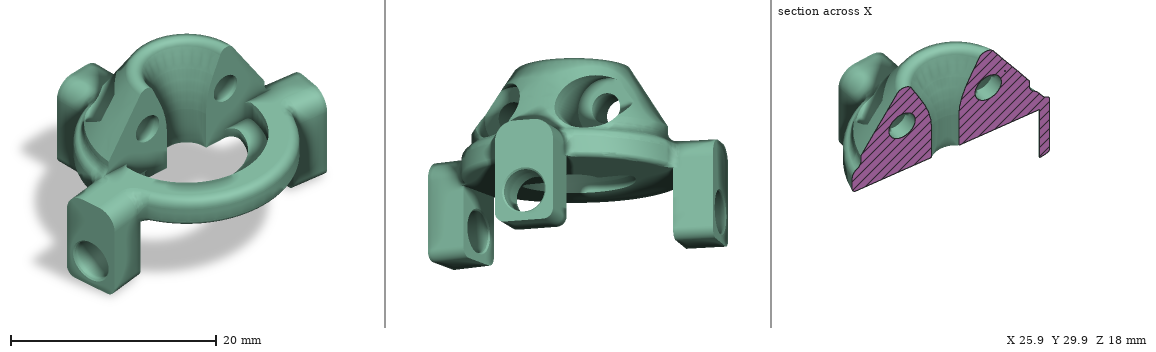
import math

import cadquery as cq

TOLERANCE = 0.01

RING_RADIUS = 11.0
RING_HEIGHT = 3.0
RING_TOP_ROUND = 1.0
RING_BOTTOM_ROUND = 0.5

POCKET_RADIUS = 8.0
POCKET_DEPTH = 2.0
POCKET_CORNER = 0.5
OPENING_RADIUS = 6.0
OPENING_CORNER = 1.0

CAP_TOP = RING_HEIGHT + 8.0
CAP_RADIUS = 10.0
CAP_SHOULDER_Z = RING_HEIGHT + 1.45
CAP_BLEND = 1.0
RIM_CREST_RADIUS = 5.15
RIM_OUTER_RADIUS = 6.0
RIM_OUTER_Z = CAP_TOP - 0.5

RIM_INNER_RADIUS = 4.3
RIM_INNER_Z = CAP_TOP - 0.65
THROAT_RADIUS = 3.4
FUNNEL_ANGLE = math.radians(24.0)
BORE_RADIUS = 2.5

SCREW_SPACING = 10.0
SCREW_Z = RING_HEIGHT + 3.0
SCREW_DIAMETER = 3.0
SCREW_HEAD_DIAMETER = 6.0
SCREW_SEAT_X = -3.5

LEG_DIRECTIONS = (85.0, 185.0, 280.0)
LEG_OUTER = 14.7
LEG_THICKNESS = 4.0
LEG_INNER = LEG_OUTER - LEG_THICKNESS
LEG_WIDTH = 6.0
LEG_BOTTOM = -7.0
LEG_BOTTOM_ROUND = 1.0
ARM_ROOT = 9.0
ARM_TOP_ROUND = 2.0
NECK_BLEND = 1.0

PIN_DIAMETER = 4.2
PIN_CHAMFER = 0.15
PIN_Z = LEG_BOTTOM + 3.0

HALF_SPACE_SIZE = 4 * LEG_OUTER


def turn(shape, direction):
    """Turn a shape built along +X to point in the given direction."""
    return shape.rotate((0, 0, 0), (0, 0, 1), direction)


def distance_from_axis(point):
    return math.hypot(point.x, point.y)


def make_ring():
    ring = cq.Workplane("XY").circle(RING_RADIUS).extrude(RING_HEIGHT)
    return ring.faces("<Z").edges().fillet(RING_BOTTOM_ROUND)


def make_arm(direction):
    """Upper part of a leg, as high as the ring and rooted inside it."""
    arm = cq.Workplane("XY").box(
        LEG_OUTER - ARM_ROOT, LEG_WIDTH, RING_HEIGHT, centered=(False, True, False)
    )
    return turn(arm.translate((ARM_ROOT, 0, 0)), direction)


def make_foot(direction):
    """Lower part of a leg, hanging below the ring."""
    foot = cq.Workplane("XY").box(
        LEG_THICKNESS, LEG_WIDTH, -LEG_BOTTOM, centered=(False, True, False)
    )
    foot = foot.edges("|X and <Z").fillet(LEG_BOTTOM_ROUND)
    return turn(foot.translate((LEG_INNER, 0, LEG_BOTTOM)), direction)


def is_neck_edge(edge):
    """True for the rising edges where the sides of an arm meet the rim of the ring."""
    on_rim = distance_from_axis(edge.Center()) < RING_RADIUS + TOLERANCE
    return on_rim and edge.BoundingBox().zlen > TOLERANCE


def is_arm_end(edge):
    return distance_from_axis(edge.Center()) > LEG_OUTER - TOLERANCE


def top_round_at(point):
    """Radius of the top round: small along the ring, large along the arms."""
    on_ring = distance_from_axis(point) < RING_RADIUS + TOLERANCE
    return RING_TOP_ROUND if on_ring else ARM_TOP_ROUND


def round_top(body):
    """Round the top outline, the radius changing smoothly along each neck."""
    solid = body.solids().val()
    rounding = cq.occ_impl.shapes.BRepFilletAPI_MakeFillet(solid.wrapped)
    for edge in body.faces(">Z").edges().vals():
        already_added = rounding.Contour(edge.wrapped) > 0
        if not already_added and not is_arm_end(edge):
            rounding.Add(edge.wrapped)
    for contour in range(1, rounding.NbContours() + 1):
        for index in range(1, rounding.NbEdges(contour) + 1):
            edge = cq.Edge(rounding.Edge(contour, index))
            radii = [top_round_at(edge.startPoint()), top_round_at(edge.endPoint())]
            if edge.wrapped.Orientation().name == "TopAbs_REVERSED":
                radii.reverse()
            rounding.SetRadius(*radii, contour, index)
    return cq.Workplane(obj=cq.Shape.cast(rounding.Shape()))


def make_base():
    """Ring with its arms, blended at the necks and rounded along the top."""
    base = make_ring()
    for direction in LEG_DIRECTIONS:
        base = base.union(make_arm(direction))
    neck_edges = [edge for edge in base.edges().vals() if is_neck_edge(edge)]
    base = base.newObject(neck_edges).fillet(NECK_BLEND)
    return round_top(base)


def is_cap_foot_edge(edge):
    """True for the circle where the cap cylinder stands on the base."""
    points = [edge.positionAt(fraction) for fraction in (0, 0.5, 1)]
    return all(
        abs(distance_from_axis(point) - CAP_RADIUS) < TOLERANCE
        and abs(point.z - RING_HEIGHT) < TOLERANCE
        for point in points
    )


def make_cap():
    """Full cap without its funnel; its rim is an arc from the outer cone to the funnel."""
    profile = (
        cq.Workplane("XZ")
        .lineTo(CAP_RADIUS, 0)
        .lineTo(CAP_RADIUS, CAP_SHOULDER_Z)
        .lineTo(RIM_OUTER_RADIUS, RIM_OUTER_Z)
        .threePointArc((RIM_CREST_RADIUS, CAP_TOP), (RIM_INNER_RADIUS, RIM_INNER_Z))
        .lineTo(0, RIM_INNER_Z)
        .close()
    )
    return profile.revolve(360, (0, 0, 0), (0, 1, 0))


def make_capped_half(base):
    """The -X half of the base with the cap blended onto it."""
    capped = base.union(make_cap())
    foot_edges = [edge for edge in capped.edges().vals() if is_cap_foot_edge(edge)]
    capped = capped.newObject(foot_edges).fillet(CAP_BLEND)
    half_space = cq.Workplane("XY").box(HALF_SPACE_SIZE, HALF_SPACE_SIZE, HALF_SPACE_SIZE)
    return capped.intersect(half_space.translate((-HALF_SPACE_SIZE / 2, 0, 0)))


def make_funnel():
    """Cone below the rim, a tangent throat curve and the bore down through the ring."""
    throat_z = RIM_INNER_Z - (RIM_INNER_RADIUS - THROAT_RADIUS) / math.tan(FUNNEL_ANGLE)
    curve_radius = (THROAT_RADIUS - BORE_RADIUS) / (1 - math.cos(FUNNEL_ANGLE))
    bore_z = throat_z - curve_radius * math.sin(FUNNEL_ANGLE)
    profile = (
        cq.Workplane("XZ")
        .lineTo(BORE_RADIUS, 0)
        .lineTo(BORE_RADIUS, bore_z)
        .radiusArc((THROAT_RADIUS, throat_z), curve_radius)
        .lineTo(RIM_INNER_RADIUS, RIM_INNER_Z)
        .lineTo(0, RIM_INNER_Z)
        .close()
    )
    return profile.revolve(360, (0, 0, 0), (0, 1, 0))


def half_disc(radius, corner, bottom, height):
    """Half disc on the +X side of the YZ plane, its two upright corners rounded."""
    disc = cq.Workplane("XY").workplane(offset=bottom).moveTo(0, -radius)
    disc = disc.threePointArc((radius, 0), (0, radius)).close().extrude(height)
    return disc.edges("|Z").fillet(corner)


def make_opening():
    """Pocket in the top of the ring and the smaller opening through its floor."""
    pocket_floor = RING_HEIGHT - POCKET_DEPTH
    pocket = half_disc(POCKET_RADIUS, POCKET_CORNER, pocket_floor, POCKET_DEPTH)
    return pocket.union(half_disc(OPENING_RADIUS, OPENING_CORNER, 0, RING_HEIGHT))


def make_screw_hole(y):
    """Screw hole running to the flat of the cap, its counterbore open towards -X."""
    hole = cq.Workplane("YZ").center(y, SCREW_Z).circle(SCREW_DIAMETER / 2).extrude(-LEG_OUTER)
    seat = cq.Workplane("YZ").workplane(offset=SCREW_SEAT_X).center(y, SCREW_Z)
    return hole.union(seat.circle(SCREW_HEAD_DIAMETER / 2).extrude(-LEG_OUTER))


def make_pin_hole(direction):
    """Through-hole along the direction of a leg, chamfered at both mouths."""
    radius = PIN_DIAMETER / 2
    mouth = radius + PIN_CHAMFER
    profile = [
        (LEG_INNER, 0),
        (LEG_INNER, mouth),
        (LEG_INNER + PIN_CHAMFER, radius),
        (LEG_OUTER - PIN_CHAMFER, radius),
        (LEG_OUTER, mouth),
        (LEG_OUTER, 0),
    ]
    hole = cq.Workplane("XZ").polyline(profile).close().revolve(360, (0, 0, 0), (1, 0, 0))
    return turn(hole.translate((0, 0, PIN_Z)), direction)


ring_and_arms = make_base()
result = ring_and_arms.union(make_capped_half(ring_and_arms))
result = result.cut(make_funnel()).cut(make_opening())
for side in (-1, 1):
    result = result.cut(make_screw_hole(side * SCREW_SPACING / 2))
for leg_direction in LEG_DIRECTIONS:
    result = result.union(make_foot(leg_direction)).cut(make_pin_hole(leg_direction))